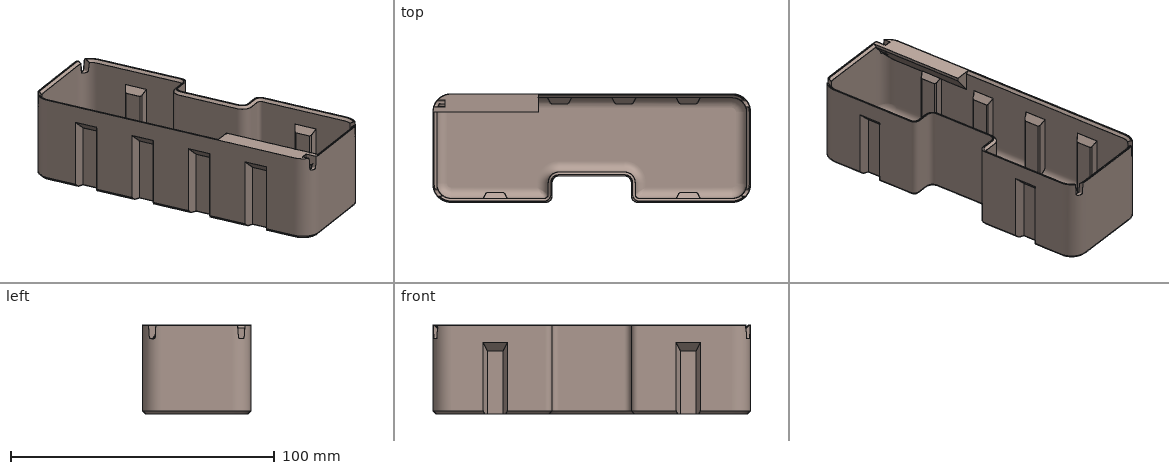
import cadquery as cq
import math

LENGTH = 120.5
WIDTH = 41.2
HEIGHT = 33.7
WALL = 1.5
FLOOR = 1.2
CORNER_RADIUS = 7.0
BOTTOM_CHAMFER = 1.2

FLOOR_FILLET = 4.0
LIP_WIDTH = 0.5
RIM_CHAMFER = WALL - LIP_WIDTH

RECESS_WIDTH = 30.0
RECESS_DEPTH = 10.0
RECESS_RADIUS = 2.5
RECESS_MOUTH_INNER_RADIUS = 1.5

RIB_PITCH = 24.4
REAR_RIB_STEPS = (-1.5, -0.5, 0.5, 1.5)
FRONT_RIB_STEPS = (-1.5, 1.5)
GROOVE_WIDTH = 9.2
GROOVE_FLOOR_WIDTH = 6.0
GROOVE_DEPTH = 3.2
GROOVE_TOP = 27.2
GROOVE_TOP_DROP = 3.3
RIB_THICKNESS = 0.6
RIB_EDGE_CHAMFER = 0.4

LEDGE_LENGTH = 40.0
LEDGE_DEPTH = 7.0
LEDGE_EDGE = 1.2
LEDGE_HEIGHT = 8.1

SLOT_INSET = 3.7
SLOT_REACH = 4.6
SLOT_TOP_WIDTH = 2.8
SLOT_BOTTOM_WIDTH = 2.1
SLOT_DEPTH = 5.1
SLOT_FILLET = 0.7

HALF_LENGTH = LENGTH / 2
HALF_WIDTH = WIDTH / 2
FRONT = -HALF_WIDTH


def recessed_block(inset, bottom, corner_radius, recess_corner_radius):
    """Block inside the outer outline by `inset`, with the front recess taken out."""
    height = HEIGHT - bottom
    block = (
        cq.Workplane("XY", origin=(0, 0, bottom))
        .rect(LENGTH - 2 * inset, WIDTH - 2 * inset)
        .extrude(height)
        .edges("|Z")
        .fillet(corner_radius)
    )
    recess_depth = RECESS_DEPTH + inset
    recess = (
        cq.Workplane("XY", origin=(0, FRONT, bottom))
        .rect(RECESS_WIDTH + 2 * inset, 2 * recess_depth)
        .extrude(height)
        .edges("|Z and >Y")
        .fillet(recess_corner_radius)
    )
    return block.cut(recess)


def recess_mouth_edges(block, inset):
    """Vertical edges where the recess meets the front wall."""
    half = RECESS_WIDTH / 2 + inset
    margin = RECESS_RADIUS / 2
    selector = cq.selectors.BoxSelector(
        (-half - margin, FRONT + inset - margin, -HEIGHT),
        (half + margin, FRONT + inset + margin, 2 * HEIGHT),
    )
    return block.edges("|Z").edges(selector)


def make_outside():
    block = recessed_block(0, 0, CORNER_RADIUS, RECESS_RADIUS)
    block = recess_mouth_edges(block, 0).fillet(RECESS_RADIUS)
    return block.faces("<Z").edges().chamfer(BOTTOM_CHAMFER)


def make_cavity():
    block = recessed_block(WALL, FLOOR, CORNER_RADIUS - WALL, RECESS_RADIUS + WALL)
    block = block.faces("<Z").edges().fillet(FLOOR_FILLET)
    return recess_mouth_edges(block, WALL).fillet(RECESS_MOUTH_INNER_RADIUS)


def make_shell():
    shell = make_outside().cut(make_cavity())
    rim = shell.faces(">Z").val().innerWires()[0]
    return shell.newObject(rim.Edges()).chamfer(RIM_CHAMFER)


def wall_prism(wall_width, inner_width, depth, top, drop, bottom):
    """Trapezoidal bar on the front wall, narrowing inwards, with a sloping top."""
    bar = (
        cq.Workplane("XY", origin=(0, FRONT, bottom))
        .polyline([
            (-wall_width / 2, 0),
            (wall_width / 2, 0),
            (inner_width / 2, depth),
            (-inner_width / 2, depth),
        ])
        .close()
        .extrude(top - bottom)
    )
    slope = (
        cq.Workplane("YZ", origin=(-wall_width, 0, 0))
        .polyline([
            (FRONT, top),
            (FRONT + depth, top - drop),
            (FRONT + depth, top),
        ])
        .close()
        .extrude(2 * wall_width)
    )
    return bar.cut(slope)


def make_groove():
    return wall_prism(GROOVE_WIDTH, GROOVE_FLOOR_WIDTH, GROOVE_DEPTH, GROOVE_TOP, GROOVE_TOP_DROP, 0)


def make_rib():
    """Groove shape offset inwards by the rib thickness, with its long inner edges chamfered."""
    side_slope = (GROOVE_WIDTH - GROOVE_FLOOR_WIDTH) / 2 / GROOVE_DEPTH
    top_slope = GROOVE_TOP_DROP / GROOVE_DEPTH
    depth = GROOVE_DEPTH + RIB_THICKNESS
    wall_width = GROOVE_WIDTH + 2 * RIB_THICKNESS * math.hypot(1, side_slope)
    inner_width = wall_width - 2 * side_slope * depth
    top = GROOVE_TOP + RIB_THICKNESS * math.hypot(1, top_slope)
    rib = wall_prism(wall_width, inner_width, depth, top, top_slope * depth, BOTTOM_CHAMFER)
    return rib.edges("|Z and >Y").chamfer(RIB_EDGE_CHAMFER)


def place_along_walls(bar):
    """Two copies on the front wall and four on the rear wall."""
    rear_bar = bar.mirror("XZ")
    placed = []
    for step in FRONT_RIB_STEPS:
        placed.append(bar.translate((step * RIB_PITCH, 0, 0)))
    for step in REAR_RIB_STEPS:
        placed.append(rear_bar.translate((step * RIB_PITCH, 0, 0)))
    return placed


def make_ledge():
    """Ledge flush with the rim, carried by a slope rising from the rear wall."""
    bar = (
        cq.Workplane("YZ", origin=(-HALF_LENGTH, 0, 0))
        .polyline([
            (HALF_WIDTH, HEIGHT),
            (HALF_WIDTH - LEDGE_DEPTH, HEIGHT),
            (HALF_WIDTH - LEDGE_DEPTH, HEIGHT - LEDGE_EDGE),
            (HALF_WIDTH - WALL, HEIGHT - LEDGE_HEIGHT),
            (HALF_WIDTH, HEIGHT - LEDGE_HEIGHT),
        ])
        .close()
        .extrude(LEDGE_LENGTH)
    )
    return bar.intersect(make_outside())


def make_slot(x_side, y_side):
    start = HALF_LENGTH - SLOT_REACH
    slot = (
        cq.Workplane("YZ", origin=(start, 0, HEIGHT))
        .polyline([
            (-SLOT_TOP_WIDTH / 2, 0),
            (SLOT_TOP_WIDTH / 2, 0),
            (SLOT_BOTTOM_WIDTH / 2, -SLOT_DEPTH),
            (-SLOT_BOTTOM_WIDTH / 2, -SLOT_DEPTH),
        ])
        .close()
        .extrude(SLOT_REACH)
        .edges("|X and <Z")
        .fillet(SLOT_FILLET)
        .translate((0, y_side * (HALF_WIDTH - SLOT_INSET), 0))
    )
    return slot if x_side > 0 else slot.mirror("YZ")


result = make_shell()
for rib in place_along_walls(make_rib()):
    result = result.union(rib)
result = result.union(make_ledge())
for groove in place_along_walls(make_groove()):
    result = result.cut(groove)
for x_side in (-1, 1):
    for y_side in (-1, 1):
        result = result.cut(make_slot(x_side, y_side))